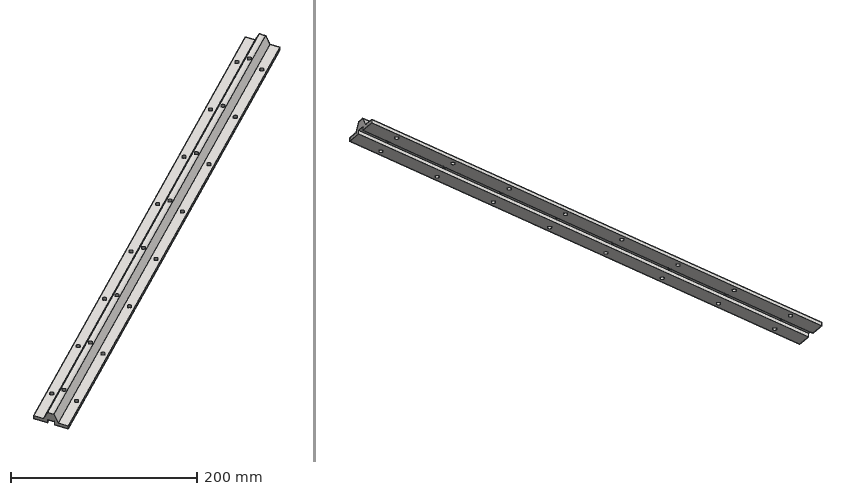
import cadquery as cq

length = 599.5
width = 40.0
height = 17.0

flange_thickness = 5.0
ridge_base_width = 17.5
seat_width = 7.0
seat_depth = 0.5

channel_width = 8.0
channel_depth = 5.0

hole_diameter = 4.5
hole_count = 8
hole_pitch = length / hole_count
hole_row_spacing = 29.0


def rail_body():
    """Extrude the symmetric cross-section, centred along Y, with its base at Z = 0."""
    return (
        cq.Workplane("XZ")
        .moveTo(-width / 2, 0)
        .lineTo(-channel_width / 2, 0)
        .lineTo(-channel_width / 2, channel_depth)
        .lineTo(channel_width / 2, channel_depth)
        .lineTo(channel_width / 2, 0)
        .lineTo(width / 2, 0)
        .lineTo(width / 2, flange_thickness)
        .lineTo(ridge_base_width / 2, flange_thickness)
        .lineTo(seat_width / 2, height)
        .threePointArc((0, height - seat_depth), (-seat_width / 2, height))
        .lineTo(-ridge_base_width / 2, flange_thickness)
        .lineTo(-width / 2, flange_thickness)
        .close()
        .extrude(length / 2, both=True)
    )


def mounting_holes():
    """Vertical drills in three parallel rows, spaced evenly along the rail."""
    hole_rows = 3
    return (
        cq.Workplane("XY")
        .rarray(hole_row_spacing / 2, hole_pitch, hole_rows, hole_count)
        .circle(hole_diameter / 2)
        .extrude(height)
    )


result = rail_body().cut(mounting_holes())